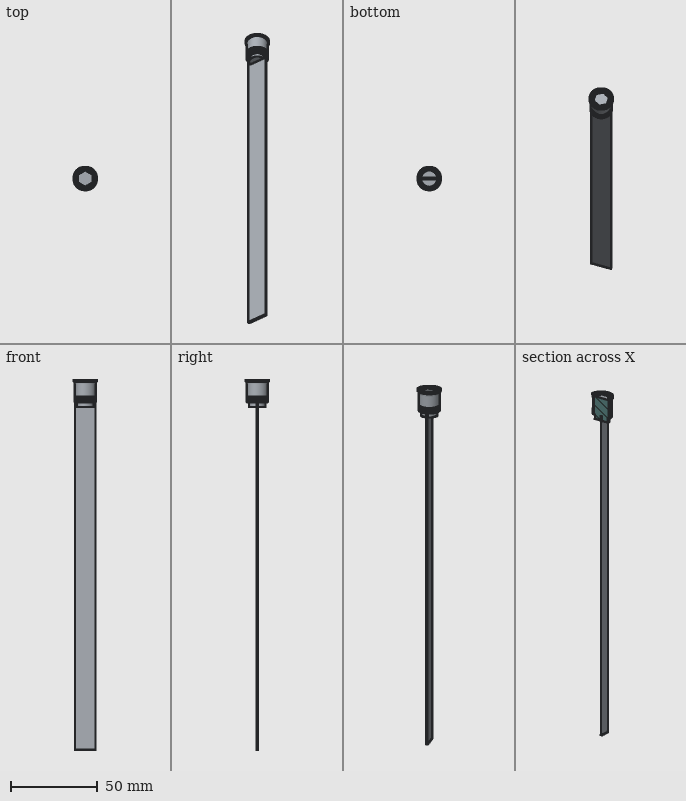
import cadquery as cq
import math


core_radius = 4.9
core_shoulder = -12.9
neck_radius = 4.75
neck_bottom = -15.5
socket_across_flats = 8.3
socket_depth = 1.0

flange_radius = 6.75
flange_rim = 0.5
body_radius = 6.25
flange_cone = flange_radius - body_radius
body_bottom = -12.7
bottom_chamfer = 0.5
mouth_radius = 5.5
mouth_depth = 0.5

waist_top = -2.0
waist_bottom = -9.45
waist_depth = 0.08
waist_taper = 0.45

tooth_count = 3
tooth_height = 0.65
tooth_depth = tooth_height

blade_width = 12.0
blade_thickness = 1.0
blade_bottom = -212.5


def make_housing():
    """Sleeve with a flange, a waist, ring-shaped serrations and a bore for the core."""
    waist_radius = body_radius - waist_depth
    profile = [
        (mouth_radius, 0),
        (flange_radius, 0),
        (flange_radius, -flange_rim),
        (body_radius, -flange_rim - flange_cone),
        (body_radius, waist_top),
        (waist_radius, waist_top - waist_taper),
        (waist_radius, waist_bottom + waist_taper),
        (body_radius, waist_bottom),
    ]
    for tooth in range(tooth_count):
        tooth_top = waist_bottom - tooth * tooth_height
        profile += [
            (body_radius - tooth_depth, tooth_top),
            (body_radius, tooth_top - tooth_height),
        ]
    profile += [
        (body_radius, body_bottom + bottom_chamfer),
        (body_radius - bottom_chamfer, body_bottom),
        (core_radius, body_bottom),
        (core_radius, -mouth_depth),
        (mouth_radius, -mouth_depth),
    ]
    return cq.Workplane("XZ").polyline(profile).close().revolve(360, (0, 0), (0, 1))


def make_blade():
    """Long flat strip whose top end reaches the underside of the housing."""
    return (
        cq.Workplane("XY", origin=(0, 0, blade_bottom))
        .rect(blade_width, blade_thickness)
        .extrude(body_bottom - blade_bottom)
    )


def make_core():
    """Pin with a shoulder, a neck and a hexagonal socket that has flats facing +X and -X."""
    pin = cq.Workplane("XY").circle(core_radius).extrude(core_shoulder)
    neck = cq.Workplane("XY").circle(neck_radius).extrude(neck_bottom)
    socket = (
        cq.Workplane("XY")
        .polygon(6, socket_across_flats / math.cos(math.radians(30)))
        .extrude(-socket_depth)
        .rotate((0, 0, 0), (0, 0, 1), 30)
    )
    return pin.union(neck).cut(socket)


housing = make_housing()
blade = make_blade()
core = make_core().cut(blade)

result = cq.Compound.makeCompound([housing.val(), core.val(), blade.val()])